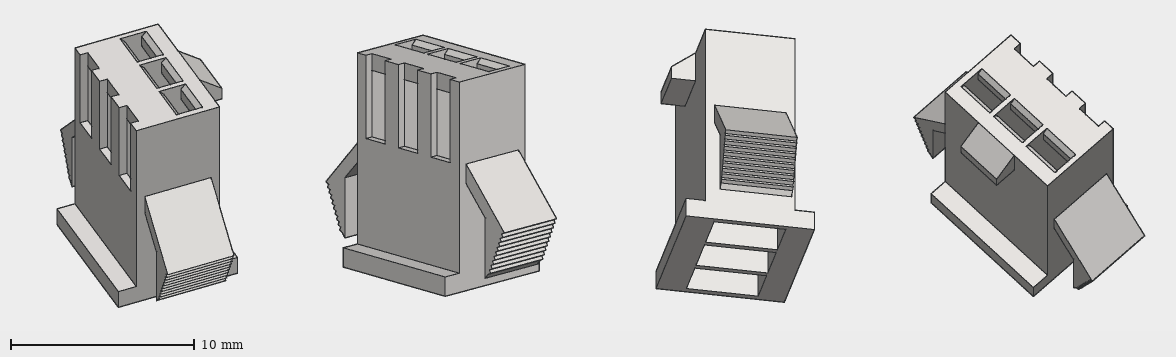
import cadquery as cq

overall_width = 13.98
overall_height = 11.95

body_width = 8.0
body_depth = 5.0

base_height = 1.1
base_overhang = 1.08

nose_width = 2.8
nose_reach = 1.34
nose_drop = 1.03
nose_height = 1.78

cavity_count = 3
cavity_pitch = 2.55
cavity_offset = -0.03
cavity_width = 2.24
front_wall = 0.46
back_wall = 0.55
cavity_height = 11.0

mouth_depth = 1.02
mouth_back = 3.87
lead_in = 0.28

slot_width = 1.5
slot_bottom = 7.23

arm_width = 3.98
arm_top = 7.2
arm_root_bottom = 6.08
arm_inner_x = 5.5
arm_elbow_z = 4.45
arm_tip_z = 3.91
grip_bottom = 1.02
tooth_count = 10
tooth_step_x = 0.119
tooth_step_z = 0.28
notch_run = 0.21
notch_drop = 0.11


def block(x_center, width, y_min, y_max, z_min, z_max):
    """Box centred on x_center, between the given Y and Z limits."""
    return (
        cq.Workplane("XY")
        .box(width, y_max - y_min, z_max - z_min, centered=(True, False, False))
        .translate((x_center, y_min, z_min))
    )


def extrude_across_x(outline, x_center, width):
    """Prism along X from an outline of (y, z) points."""
    return (
        cq.Workplane("YZ")
        .polyline(outline)
        .close()
        .extrude(width / 2, both=True)
        .translate((x_center, 0, 0))
    )


def housing():
    """Upright body on a wider base."""
    body = block(0, body_width, 0, body_depth, 0, overall_height)
    base = block(0, body_width, -base_overhang, body_depth + base_overhang, 0, base_height)
    return body.union(base)


def latch_nose():
    """Ramped latch that hangs from the top edge of the back face."""
    nose_bottom = overall_height - nose_height
    nose_tip_y = body_depth + nose_reach
    outline = [
        (body_depth, overall_height),
        (nose_tip_y, overall_height - nose_drop),
        (nose_tip_y, nose_bottom),
        (body_depth, nose_bottom),
    ]
    return extrude_across_x(outline, 0, nose_width)


def contact_cavity(x_center):
    """Cavity open at the bottom, with a flared mouth on top and a slot to the front."""
    cavity = block(x_center, cavity_width, front_wall, body_depth - back_wall, 0, cavity_height)
    slot = block(x_center, slot_width, 0, front_wall, slot_bottom, overall_height)
    mouth_front = mouth_back - mouth_depth
    flare_bottom = overall_height - lead_in
    mouth_outline = [
        (mouth_front, cavity_height),
        (mouth_front, flare_bottom),
        (mouth_front - lead_in, overall_height),
        (mouth_back + lead_in, overall_height),
        (mouth_back, flare_bottom),
        (mouth_back, cavity_height),
    ]
    mouth = extrude_across_x(mouth_outline, x_center, cavity_width)
    return cavity.union(slot).union(mouth)


def right_arm():
    """Arm sloping down from the side of the body, with a saw-toothed outer grip."""
    body_side = body_width / 2
    outline = [
        (body_side, arm_root_bottom),
        (body_side, arm_top),
    ]
    for tooth in range(tooth_count):
        tip_x = overall_width / 2 - tooth * tooth_step_x
        tip_z = arm_tip_z - tooth * tooth_step_z
        outline.append((tip_x, tip_z))
        outline.append((tip_x - notch_run, tip_z - notch_drop))
    outline.append((arm_inner_x, grip_bottom))
    outline.append((arm_inner_x, arm_elbow_z))
    return (
        cq.Workplane("XZ", origin=(0, body_depth / 2, 0))
        .polyline(outline)
        .close()
        .extrude(arm_width / 2, both=True)
    )


result = housing().union(latch_nose())

for index in range(cavity_count):
    cavity_x = cavity_offset + (index - (cavity_count - 1) / 2) * cavity_pitch
    result = result.cut(contact_cavity(cavity_x))

arm = right_arm()
result = result.union(arm).union(arm.mirror("YZ"))